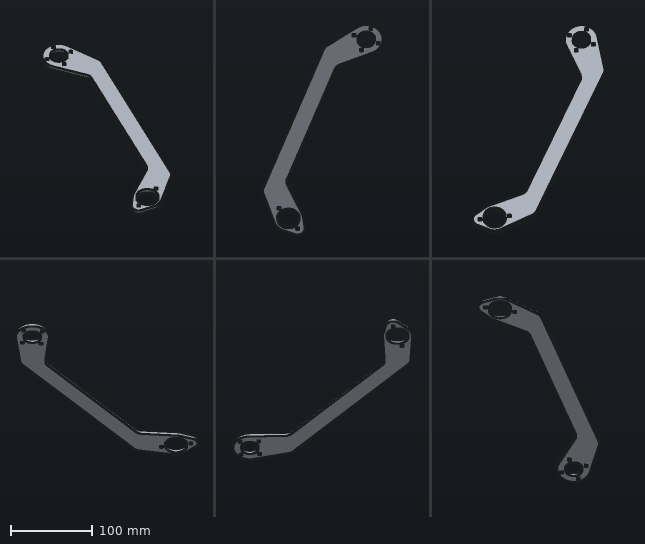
import cadquery as cq
import math

thickness = 6.0
overall_length = 309.0
bar_top = 44.0
bar_bottom = 20.7
bend_radius = 10.0

left_radius = 20.7
left_bore = 21.3
left_bolt_circle_radius = 16.0
left_bolt_count = 4

right_radius = 18.2
right_bore = 27.2
ear_radius = 9.0
screw_dx = 9.3
screw_dy = 15.8
screw_diameter = 3.5

top_left_x = 28.0
top_right_x = 245.3
bottom_left_x = 48.0
bottom_right_x = 223.5

left_center = (0.0, 0.0)
right_edge = overall_length - left_radius
right_center = (right_edge - right_radius, 0.0)
ear_center = (right_center[0] + screw_dx, -screw_dy)


def on_circle(center, radius, angle):
    """Point on a circle at an angle in radians."""
    return (center[0] + radius * math.cos(angle), center[1] + radius * math.sin(angle))


def tangent_angle(corner, center, radius, side):
    """Angle on the circle where a line from the corner touches it; side +1 is counterclockwise."""
    dx = corner[0] - center[0]
    dy = corner[1] - center[1]
    return math.atan2(dy, dx) + side * math.acos(radius / math.hypot(dx, dy))


def middle_angle(start, end):
    """Angle halfway along the clockwise sweep from start to end."""
    sweep = (start - end) % (2 * math.pi)
    return start - sweep / 2


def add_arc(outline, center, radius, start, end):
    """Continue the outline with a line to a circle and a clockwise arc along it."""
    return outline.lineTo(*on_circle(center, radius, start)).threePointArc(
        on_circle(center, radius, middle_angle(start, end)),
        on_circle(center, radius, end),
    )


def make_plate():
    """Bent bar with tangent hubs, outlined clockwise from the top left bend."""
    top_left = (top_left_x, bar_top)
    top_right = (top_right_x, bar_top)
    bottom_right = (bottom_right_x, bar_bottom)
    bottom_left = (bottom_left_x, bar_bottom)

    center_dx = ear_center[0] - right_center[0]
    center_dy = ear_center[1] - right_center[1]
    center_distance = math.hypot(center_dx, center_dy)
    center_direction = math.atan2(center_dy, center_dx)
    ear_tangent = center_direction - math.acos((right_radius - ear_radius) / center_distance)

    right_start = tangent_angle(top_right, right_center, right_radius, -1)
    right_end = tangent_angle(bottom_right, right_center, right_radius, 1)
    left_start = tangent_angle(bottom_left, left_center, left_radius, -1)
    left_end = tangent_angle(top_left, left_center, left_radius, 1)

    outline = cq.Workplane("XY").moveTo(*top_left).lineTo(*top_right)
    outline = add_arc(outline, right_center, right_radius, right_start, 0)
    outline = add_arc(outline, ear_center, ear_radius, 0, ear_tangent)
    outline = add_arc(outline, right_center, right_radius, ear_tangent, right_end)
    outline = outline.lineTo(*bottom_right).lineTo(*bottom_left)
    outline = add_arc(outline, left_center, left_radius, left_start, left_end)
    plate = outline.close().extrude(thickness)

    for x, y in (top_left, top_right, bottom_right, bottom_left):
        bend = cq.selectors.NearestToPointSelector((x, y, thickness / 2))
        plate = plate.edges("|Z").edges(bend).fillet(bend_radius)
    return plate


def cut_holes(plate, centers, diameter):
    """Cut round through holes at the given centres."""
    holes = cq.Workplane("XY").pushPoints(centers).circle(diameter / 2).extrude(thickness)
    return plate.cut(holes)


left_screws = [
    on_circle(left_center, left_bolt_circle_radius, 2 * math.pi * i / left_bolt_count)
    for i in range(left_bolt_count)
]
right_screws = [
    (right_center[0] - screw_dx, screw_dy),
    ear_center,
]

result = make_plate()
result = cut_holes(result, [left_center], left_bore)
result = cut_holes(result, [right_center], right_bore)
result = cut_holes(result, left_screws + right_screws, screw_diameter)